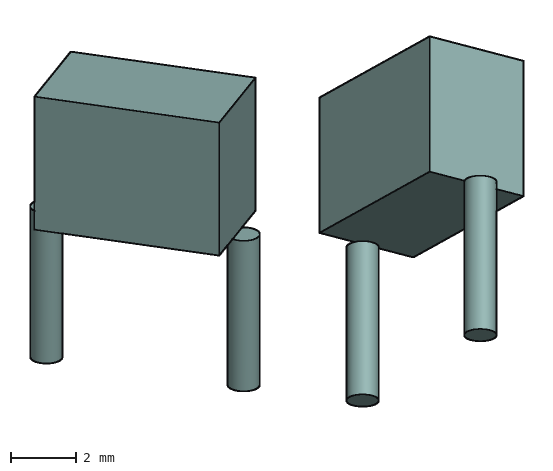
import cadquery as cq

total_width = 7.4
total_height = 9.6

block_width = 6.0
block_depth = 3.5
block_height = 4.5

pin_diameter = 1.0
pin_length = total_height - block_height
pin_spacing = total_width - pin_diameter


def make_block():
    """Plain rectangular block whose underside lies on Z = 0."""
    return cq.Workplane("XY").box(block_width, block_depth, block_height, centered=(True, True, False))


def make_pin(x):
    """Straight round pin that hangs down from the underside plane of the block."""
    return cq.Workplane("XY").center(x, 0).circle(pin_diameter / 2).extrude(-pin_length)


block = make_block()
pins = [make_pin(side * pin_spacing / 2) for side in (-1, 1)]

result = cq.Compound.makeCompound([block.val(), *[pin.val() for pin in pins]])